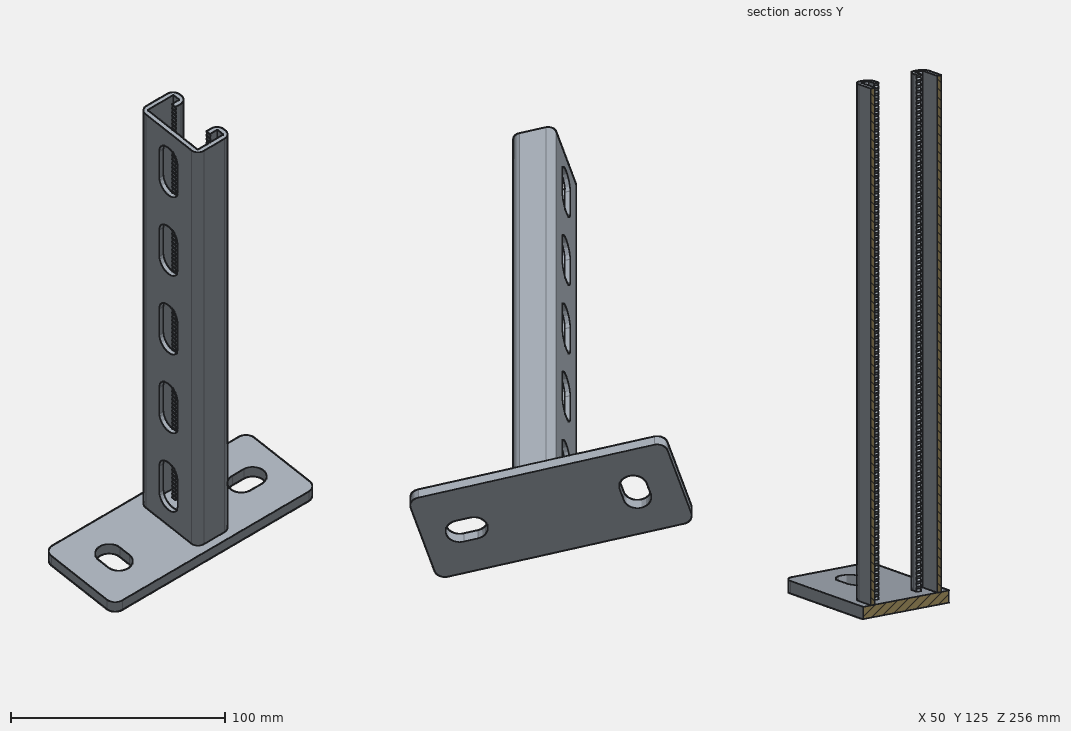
import cadquery as cq

total_height = 256.0

plate_width = 50.0
plate_length = 125.0
plate_thickness = 6.1
plate_corner_radius = 5.0

plate_slot_width = 13.0
plate_slot_length = 20.0
plate_slot_offset = 41.0

channel_width = 41.0
channel_depth = 21.0
wall = 2.5
bend_radius = 4.0
lip_width = 9.5
lip_drop = 7.2
web_face_y = -7.5
channel_height = total_height - plate_thickness

web_slot_count = 5
web_slot_width = 13.0
web_slot_length = 30.0
web_slot_pitch = channel_height / web_slot_count

lip_edge_x = channel_width / 2 - lip_width
lip_back_x = lip_edge_x + wall
lip_end_y = web_face_y + channel_depth - lip_drop

tooth_count = 100
tooth_pitch = channel_height / tooth_count
tooth_depth = 0.5


def make_plate():
    """Rounded base plate with one lengthwise and one crosswise slot."""
    plate = (
        cq.Workplane("XY")
        .rect(plate_width, plate_length)
        .extrude(plate_thickness)
        .edges("|Z")
        .fillet(plate_corner_radius)
    )
    lengthwise_slot = (
        cq.Workplane("XY")
        .center(0, plate_slot_offset)
        .slot2D(plate_slot_length, plate_slot_width, 90)
        .extrude(plate_thickness)
    )
    crosswise_slot = (
        cq.Workplane("XY")
        .center(0, -plate_slot_offset)
        .slot2D(plate_slot_length, plate_slot_width)
        .extrude(plate_thickness)
    )
    return plate.cut(lengthwise_slot).cut(crosswise_slot)


def make_channel_profile():
    """Square-cornered C section with lips turned in, extruded to full height."""
    half_width = channel_width / 2
    top_y = web_face_y + channel_depth
    right_half = [
        (0, web_face_y),
        (half_width, web_face_y),
        (half_width, top_y),
        (lip_edge_x, top_y),
        (lip_edge_x, lip_end_y),
        (lip_back_x, lip_end_y),
        (lip_back_x, top_y - wall),
        (half_width - wall, top_y - wall),
        (half_width - wall, web_face_y + wall),
        (0, web_face_y + wall),
    ]
    left_half = [(-x, y) for x, y in reversed(right_half[1:-1])]
    return (
        cq.Workplane("XY", origin=(0, 0, plate_thickness))
        .polyline(right_half + left_half)
        .close()
        .extrude(channel_height)
    )


def make_web_slots():
    """Upright slots, evenly spaced along the height of the web."""
    centers = [
        (0, plate_thickness + (i + 0.5) * web_slot_pitch)
        for i in range(web_slot_count)
    ]
    return (
        cq.Workplane("XZ", origin=(0, web_face_y, 0))
        .pushPoints(centers)
        .slot2D(web_slot_length, web_slot_width, 90)
        .extrude(-wall)
    )


def make_tooth_cutter():
    """Zigzag bar across both lips that leaves shallow V-shaped teeth on their ends."""
    zigzag = [(lip_end_y, plate_thickness)]
    for i in range(tooth_count):
        tooth_base_z = plate_thickness + i * tooth_pitch
        zigzag.append((lip_end_y + tooth_depth, tooth_base_z + tooth_pitch / 2))
        zigzag.append((lip_end_y, tooth_base_z + tooth_pitch))
    clear_y = lip_end_y - tooth_depth
    back = [(clear_y, total_height), (clear_y, plate_thickness)]
    return (
        cq.Workplane("YZ")
        .polyline(zigzag + back)
        .close()
        .extrude(lip_back_x, both=True)
    )


def make_channel():
    """Channel with rounded outer bends, a slotted web and toothed lips."""
    bends = make_channel_profile().edges("|Z and (<Y or >Y)").fillet(bend_radius)
    return bends.cut(make_web_slots()).cut(make_tooth_cutter())


plate = make_plate()
channel = make_channel()

result = cq.Compound.makeCompound([plate.val(), channel.val()])